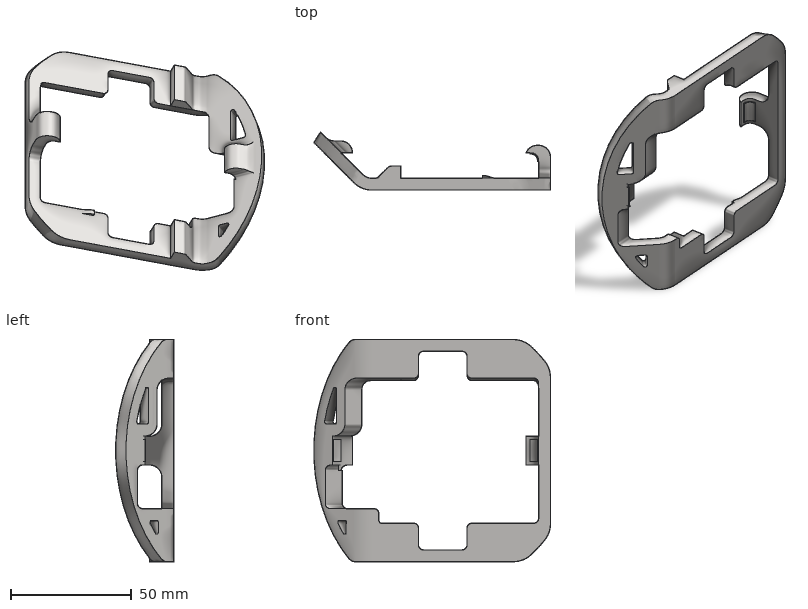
import cadquery as cq
import math

HEIGHT = 92.0
THICKNESS = 5.0
RIGHT_X = 44.6
LEFT_X = -53.37

BEND_X = -29.45
BEND_OUTER_R = 10.0
BEND_INNER_R = BEND_OUTER_R - THICKNESS
COS_45 = math.sqrt(0.5)

WING_SPHERE_X = -0.8
WING_SPHERE_Y = -10.7
WING_CORNER_R = 5.0

CORNER_SPHERE_X = -3.5
CORNER_SPHERE_Y = -12.0
CORNER_CIRCLE_R = 58.8
CORNER_R = 10.0

RIB_RIGHT_X = -17.3
RIB_TOP_Y = 2 * THICKNESS
RIB_RAMP_FOOT_X = -27.1
RIB_BLEND_R = 2.0

RAIL_WIDTH = 5.0
OPENING_RIGHT_X = RIGHT_X - RAIL_WIDTH
OPENING_LEFT_X = -26.4
OPENING_HALF_Z = 30.0
SLOT_HALF_WIDTH = 10.0
SLOT_HALF_Z = 41.0
OPENING_CORNER_R = 2.0
STEP_INNER_R = 1.2

UPPER_WINDOW_Y = 6.9
LOWER_WINDOW_Y = 15.0
LOWER_WINDOW_END_Z = -24.0
WINDOW_R = 5.0
LOWER_WINDOW_R = 2.2

HOOK_HALF_Z = 6.0
GRIP_LEFT_X = -45.6
GRIP_Y = 15.4
GRIP_R = 3.0
HOOK_R = 5.0
LEFT_HOOK_TIP_X = -37.3
RIGHT_HOOK_TIP_X = 34.4
RIGHT_HOOK_TOP_Y = 18.6
RELIEF_LEFT_X = -43.1
HOOK_SIDE_BLEND_R = 2.0
HOOK_FLARE_R = 5.0
PAD_HALF_Z = 4.5
PAD_THICKNESS = 0.5
PAD_RUNOUT = 0.6

HOLE_EDGE_MARGIN = 5.0
HOLE_ROUND_R = 0.9
UPPER_HOLE_X = -44.0
UPPER_HOLE_Z = 11.1
LOWER_HOLE_X = -40.0
LOWER_HOLE_Z = -28.8

CATCH_LEFT_X = 16.4
CATCH_FLAT = 1.4
CATCH_LENGTH = 4.9
CATCH_HEIGHT = 1.0
CATCH_DEPTH = 2.0

HALF_Z = HEIGHT / 2
CLEARANCE = 10.0
WING_START_X = BEND_X - BEND_OUTER_R * COS_45
WING_START_Y = BEND_OUTER_R * (1 - COS_45)
WING_TIP_Y = WING_START_Y + WING_START_X - LEFT_X
WING_SPHERE_R = math.hypot(LEFT_X - WING_SPHERE_X, WING_TIP_Y - WING_SPHERE_Y)
CORNER_SPHERE_R = math.hypot(CORNER_CIRCLE_R, CORNER_SPHERE_Y)
WING_CENTRE_U = (WING_SPHERE_X - LEFT_X - WING_SPHERE_Y + WING_TIP_Y) * COS_45
ARC_CENTRE_Y = UPPER_WINDOW_Y - WINDOW_R
LIP_Z = OPENING_HALF_Z - WINDOW_R + math.sqrt(WINDOW_R**2 - (THICKNESS - ARC_CENTRE_Y) ** 2)


def wing_front_y(x):
    """Y of the flat front face of the wing at a given X."""
    return WING_START_Y + WING_START_X - x


def wing_back_y(x):
    """Y of the flat back face of the wing at a given X."""
    return wing_front_y(x) + THICKNESS / COS_45


def bar_along_x(profile, x_start, x_end):
    """Extrude a closed YZ profile between two X positions."""
    return profile.extrude(x_end - x_start).translate((x_start, 0, 0))


def bent_strip():
    """Flat frame and bent wing in one profile, with square corners."""
    centre_y = BEND_OUTER_R
    sin_half = math.sin(math.pi / 8)
    cos_half = math.cos(math.pi / 8)
    wing_far_x = LEFT_X - CLEARANCE
    inner_x = BEND_X - BEND_INNER_R * COS_45
    return (
        cq.Workplane("XY")
        .moveTo(RIGHT_X, 0)
        .lineTo(BEND_X, 0)
        .threePointArc(
            (BEND_X - BEND_OUTER_R * sin_half, centre_y - BEND_OUTER_R * cos_half),
            (WING_START_X, WING_START_Y),
        )
        .lineTo(wing_far_x, wing_front_y(wing_far_x))
        .lineTo(wing_far_x, wing_back_y(wing_far_x))
        .lineTo(inner_x, wing_back_y(inner_x))
        .threePointArc(
            (BEND_X - BEND_INNER_R * sin_half, centre_y - BEND_INNER_R * cos_half),
            (BEND_X, THICKNESS),
        )
        .lineTo(RIGHT_X, THICKNESS)
        .close()
        .extrude(HALF_Z, both=True)
    )


def trimmed_shell():
    """Bent strip trimmed by a sphere at each end, with its outer corners blended."""
    wing_ball = cq.Workplane("XY").sphere(WING_SPHERE_R).translate((WING_SPHERE_X, WING_SPHERE_Y, 0))
    corner_ball = cq.Workplane("XY").sphere(CORNER_SPHERE_R).translate((CORNER_SPHERE_X, CORNER_SPHERE_Y, 0))
    strip = bent_strip()
    middle = cq.Workplane("XY").box(2 * HEIGHT, HEIGHT, HEIGHT, centered=(False, True, True))
    right_half = strip.intersect(middle).intersect(corner_ball)
    left_half = strip.cut(middle).intersect(wing_ball)
    shell = left_half.union(right_half, clean=True)
    right_corners = cq.selectors.BoxSelector(
        (SLOT_HALF_WIDTH, 1, -HEIGHT), (RIGHT_X + 1, THICKNESS - 1, HEIGHT)
    )
    shell = shell.edges(right_corners).fillet(CORNER_R)
    half_step = THICKNESS / 2 * COS_45
    corner_u = WING_CENTRE_U - math.sqrt(WING_CENTRE_U**2 - HALF_Z**2)
    corner_x = LEFT_X + corner_u * COS_45
    for end_z in (-HALF_Z, HALF_Z):
        wing_corner = (corner_x + half_step, wing_front_y(corner_x) + half_step, end_z)
        corner_edge = cq.selectors.NearestToPointSelector(wing_corner)
        shell = shell.edges(corner_edge).fillet(WING_CORNER_R)
    return shell


def rib():
    """Ramped rib across the full height of the back."""
    ramp_top_x = RIB_RAMP_FOOT_X + RIB_TOP_Y - THICKNESS
    mid_y = THICKNESS / 2
    body = (
        cq.Workplane("XY")
        .moveTo(BEND_X, mid_y)
        .lineTo(BEND_X, THICKNESS)
        .lineTo(RIB_RAMP_FOOT_X, THICKNESS)
        .lineTo(ramp_top_x, RIB_TOP_Y)
        .lineTo(RIB_RIGHT_X, RIB_TOP_Y)
        .lineTo(RIB_RIGHT_X, mid_y)
        .close()
        .extrude(HALF_Z, both=True)
    )
    foot = cq.selectors.NearestToPointSelector((RIB_RAMP_FOOT_X, THICKNESS, 0))
    brow = cq.selectors.NearestToPointSelector((ramp_top_x, RIB_TOP_Y, 0))
    return body.edges("|Z").edges(foot).fillet(RIB_BLEND_R).edges("|Z").edges(brow).fillet(RIB_BLEND_R)


def frame_opening():
    """Stepped opening of the flat frame with a central slot, cut straight through along Y."""
    left, right, slot = OPENING_LEFT_X, OPENING_RIGHT_X, SLOT_HALF_WIDTH
    outline = [
        (BEND_X, LIP_Z),
        (BEND_X, 0),
        (left, 0),
        (left, -OPENING_HALF_Z),
        (-slot, -OPENING_HALF_Z),
        (-slot, -SLOT_HALF_Z),
        (slot, -SLOT_HALF_Z),
        (slot, -OPENING_HALF_Z),
        (right, -OPENING_HALF_Z),
        (right, HOOK_HALF_Z + WINDOW_R),
        (slot, HOOK_HALF_Z + WINDOW_R),
        (slot, SLOT_HALF_Z),
        (-slot, SLOT_HALF_Z),
        (-slot, LIP_Z),
    ]
    return cq.Workplane("XZ").polyline(outline).close().extrude(2 * RIB_TOP_Y, both=True)


def upper_window():
    """Round-cornered window above the hooks, cut sideways from the wing to the right-hand rail."""
    arc_low_z = HOOK_HALF_Z + WINDOW_R
    arc_high_z = OPENING_HALF_Z - WINDOW_R
    shoulder = WINDOW_R * COS_45
    profile = (
        cq.Workplane("YZ")
        .moveTo(-CLEARANCE, OPENING_HALF_Z)
        .lineTo(ARC_CENTRE_Y, OPENING_HALF_Z)
        .threePointArc((ARC_CENTRE_Y + shoulder, arc_high_z + shoulder), (UPPER_WINDOW_Y, arc_high_z))
        .lineTo(UPPER_WINDOW_Y, arc_low_z)
        .threePointArc(
            (UPPER_WINDOW_Y + WINDOW_R - shoulder, arc_low_z - shoulder),
            (UPPER_WINDOW_Y + WINDOW_R, HOOK_HALF_Z),
        )
        .lineTo(-CLEARANCE, HOOK_HALF_Z)
        .close()
    )
    window = bar_along_x(profile, LEFT_X, OPENING_RIGHT_X)
    top_end_edge = cq.selectors.NearestToPointSelector((OPENING_RIGHT_X, 0, OPENING_HALF_Z))
    return window.edges("|Y").edges(top_end_edge).fillet(OPENING_CORNER_R)


def lower_window():
    """Window below the hooks, cut sideways through the wing."""
    profile = (
        cq.Workplane("YZ")
        .moveTo(-CLEARANCE, -HOOK_HALF_Z)
        .lineTo(LOWER_WINDOW_Y, -HOOK_HALF_Z)
        .lineTo(LOWER_WINDOW_Y, LOWER_WINDOW_END_Z)
        .lineTo(-CLEARANCE, LOWER_WINDOW_END_Z)
        .close()
    )
    window = bar_along_x(profile, LEFT_X, OPENING_LEFT_X)
    return window.edges("|X and >Y").fillet(LOWER_WINDOW_R)


def hook_relief():
    """Clearance under the left-hand hook that removes the rounded window corner behind it."""
    centre_x = (OPENING_LEFT_X + RELIEF_LEFT_X) / 2
    centre_y = (GRIP_Y - CLEARANCE) / 2
    return (
        cq.Workplane("XY")
        .rect(OPENING_LEFT_X - RELIEF_LEFT_X, GRIP_Y + CLEARANCE)
        .extrude(LOWER_WINDOW_R)
        .translate((centre_x, centre_y, -HOOK_HALF_Z - LOWER_WINDOW_R))
    )


def grip_cavity():
    """Space between the windows that leaves the left-hand grip wall."""
    return (
        cq.Workplane("XY")
        .moveTo(GRIP_LEFT_X, -CLEARANCE)
        .lineTo(GRIP_LEFT_X, GRIP_Y - GRIP_R)
        .radiusArc((GRIP_LEFT_X + GRIP_R, GRIP_Y), GRIP_R)
        .lineTo(OPENING_LEFT_X, GRIP_Y)
        .lineTo(OPENING_LEFT_X, -CLEARANCE)
        .close()
        .extrude(HOOK_HALF_Z, both=True)
    )


def wing_hole(straight_x, end_z, arc_toward):
    """Three-sided hole square to the wing; its curved side runs parallel to the wing edge."""
    plane = cq.Plane(
        origin=(LEFT_X, WING_TIP_Y, 0), xDir=(COS_45, -COS_45, 0), normal=(-COS_45, -COS_45, 0)
    )
    arc_r = WING_CENTRE_U - HOLE_EDGE_MARGIN
    straight_u = (straight_x - LEFT_X) / COS_45
    far_z = arc_toward * math.sqrt(arc_r**2 - (WING_CENTRE_U - straight_u) ** 2)
    near_u = WING_CENTRE_U - math.sqrt(arc_r**2 - end_z**2)
    mid_z = (end_z + far_z) / 2
    mid_u = WING_CENTRE_U - math.sqrt(arc_r**2 - mid_z**2)
    hole = (
        cq.Workplane(plane)
        .moveTo(straight_u, far_z)
        .lineTo(straight_u, end_z)
        .lineTo(near_u, end_z)
        .threePointArc((mid_u, mid_z), (straight_u, far_z))
        .close()
        .extrude(THICKNESS + 1, both=True)
    )
    through_wing = cq.selectors.ParallelDirSelector(plane.zDir)
    return hole.edges(through_wing).fillet(HOLE_ROUND_R)


def right_hook():
    """Post on the right-hand rail, curled inwards at its end and flared at its root."""
    arc_centre_y = RIGHT_HOOK_TOP_Y - HOOK_R
    tip_rise = GRIP_Y - arc_centre_y
    crown_x = RIGHT_HOOK_TIP_X + math.sqrt(HOOK_R**2 - tip_rise**2)
    root_y = THICKNESS / 2
    hook = (
        cq.Workplane("XY")
        .moveTo(RIGHT_X, root_y)
        .lineTo(RIGHT_X, arc_centre_y)
        .radiusArc((RIGHT_X - HOOK_R, RIGHT_HOOK_TOP_Y), -HOOK_R)
        .lineTo(crown_x, RIGHT_HOOK_TOP_Y)
        .radiusArc((RIGHT_HOOK_TIP_X, GRIP_Y), -HOOK_R)
        .lineTo(OPENING_RIGHT_X - GRIP_R, GRIP_Y)
        .radiusArc((OPENING_RIGHT_X, GRIP_Y - GRIP_R), GRIP_R)
        .lineTo(OPENING_RIGHT_X, root_y)
        .close()
        .extrude(HOOK_HALF_Z, both=True)
    )
    flare_top_y = THICKNESS + HOOK_FLARE_R
    flare_half_z = HOOK_HALF_Z + HOOK_FLARE_R
    flare = (
        cq.Workplane("YZ")
        .moveTo(root_y, -flare_half_z)
        .lineTo(THICKNESS, -flare_half_z)
        .radiusArc((flare_top_y, -HOOK_HALF_Z), HOOK_FLARE_R)
        .lineTo(flare_top_y, HOOK_HALF_Z)
        .radiusArc((THICKNESS, flare_half_z), HOOK_FLARE_R)
        .lineTo(root_y, flare_half_z)
        .close()
    )
    return hook.union(bar_along_x(flare, OPENING_RIGHT_X, RIGHT_X))


def left_hook():
    """Hook on the back of the wing, faired into it above and at both sides."""
    top_y = GRIP_Y + HOOK_R
    meet_x = LEFT_X + wing_back_y(LEFT_X) - top_y
    setback = HOOK_R * math.tan(math.pi / 8)
    fair_x = meet_x - setback * COS_45
    fair_y = top_y + setback * COS_45
    half_step = THICKNESS / 2 * COS_45
    outline = (
        cq.Workplane("XY")
        .moveTo(LEFT_HOOK_TIP_X, GRIP_Y)
        .radiusArc((LEFT_HOOK_TIP_X - HOOK_R, top_y), -HOOK_R)
        .lineTo(meet_x + setback, top_y)
        .radiusArc((fair_x, fair_y), HOOK_R)
        .lineTo(fair_x - half_step, fair_y - half_step)
        .lineTo(GRIP_LEFT_X + GRIP_R, GRIP_Y)
        .close()
    )
    blend_half_z = HOOK_HALF_Z + HOOK_SIDE_BLEND_R
    wide_hook = outline.extrude(blend_half_z, both=True)
    along_wing = cq.Plane(
        origin=(meet_x, top_y, 0), xDir=(COS_45, COS_45, 0), normal=(-COS_45, COS_45, 0)
    )
    flared_bar = (
        cq.Workplane(along_wing)
        .moveTo(-THICKNESS, blend_half_z)
        .lineTo(0, blend_half_z)
        .radiusArc((HOOK_SIDE_BLEND_R, HOOK_HALF_Z), -HOOK_SIDE_BLEND_R)
        .lineTo(2 * HOOK_R, HOOK_HALF_Z)
        .lineTo(2 * HOOK_R, -HOOK_HALF_Z)
        .lineTo(HOOK_SIDE_BLEND_R, -HOOK_HALF_Z)
        .radiusArc((0, -blend_half_z), -HOOK_SIDE_BLEND_R)
        .lineTo(-THICKNESS, -blend_half_z)
        .close()
        .extrude(4 * HOOK_R, both=True)
    )
    return wide_hook.intersect(flared_bar)


def grip_pad(wall_x, inward):
    """Thin raised pad lining the rounded inner corner of a hook."""
    arc_start_y = GRIP_Y - GRIP_R
    pad_start_y = arc_start_y - PAD_RUNOUT
    pad_face_x = wall_x + inward * PAD_THICKNESS
    pad_face_y = GRIP_Y - PAD_THICKNESS
    arc_end_x = wall_x + inward * GRIP_R
    pad_end_x = arc_end_x + inward * PAD_RUNOUT
    return (
        cq.Workplane("XY")
        .moveTo(wall_x, pad_start_y)
        .lineTo(wall_x, arc_start_y)
        .radiusArc((arc_end_x, GRIP_Y), inward * GRIP_R)
        .lineTo(pad_end_x, GRIP_Y)
        .lineTo(pad_end_x, pad_face_y)
        .lineTo(arc_end_x, pad_face_y)
        .radiusArc((pad_face_x, arc_start_y), -inward * (GRIP_R - PAD_THICKNESS))
        .lineTo(pad_face_x, pad_start_y)
        .close()
        .extrude(PAD_HALF_Z, both=True)
    )


def catch():
    """Small ramped catch on the back of the lower pad, at the edge of the opening."""
    top_y = THICKNESS + CATCH_HEIGHT
    root_y = THICKNESS / 2
    return (
        cq.Workplane("XY", origin=(0, 0, -OPENING_HALF_Z))
        .moveTo(CATCH_LEFT_X, root_y)
        .lineTo(CATCH_LEFT_X, top_y)
        .lineTo(CATCH_LEFT_X + CATCH_FLAT, top_y)
        .lineTo(CATCH_LEFT_X + CATCH_LENGTH, THICKNESS)
        .lineTo(CATCH_LEFT_X + CATCH_LENGTH, root_y)
        .close()
        .extrude(-CATCH_DEPTH)
    )


def round_opening(body):
    """Round the corners of the opening that run through the frame thickness."""
    mid_y = THICKNESS / 2
    slot = SLOT_HALF_WIDTH
    corners = [
        (OPENING_LEFT_X, LOWER_WINDOW_END_Z),
        (OPENING_RIGHT_X, -OPENING_HALF_Z),
    ]
    for x in (-slot, slot):
        corners += [(x, SLOT_HALF_Z), (x, -SLOT_HALF_Z), (x, -OPENING_HALF_Z)]
    for x, z in corners:
        corner = cq.selectors.NearestToPointSelector((x, mid_y, z))
        body = body.edges("|Y").edges(corner).fillet(OPENING_CORNER_R)
    step_corner = cq.selectors.NearestToPointSelector((OPENING_LEFT_X, mid_y, -OPENING_HALF_Z))
    body = body.edges("|Y").edges(step_corner).fillet(STEP_INNER_R)
    straight_mid_y = ARC_CENTRE_Y / 2
    for x in (-slot, slot):
        lip_corner = cq.selectors.NearestToPointSelector((x, straight_mid_y, OPENING_HALF_Z))
        body = body.edges("|Y").edges(lip_corner).fillet(OPENING_CORNER_R)
    return body


def build_part():
    """Assemble the complete frame."""
    body = trimmed_shell().union(rib())
    for cutter in (frame_opening(), upper_window(), lower_window(), hook_relief(), grip_cavity()):
        body = body.cut(cutter)
    body = round_opening(body)
    body = body.cut(wing_hole(UPPER_HOLE_X, UPPER_HOLE_Z, 1))
    body = body.cut(wing_hole(LOWER_HOLE_X, LOWER_HOLE_Z, -1))
    body = body.union(left_hook()).union(right_hook())
    body = body.union(grip_pad(GRIP_LEFT_X, 1)).union(grip_pad(OPENING_RIGHT_X, -1))
    return body.union(catch())


result = build_part()